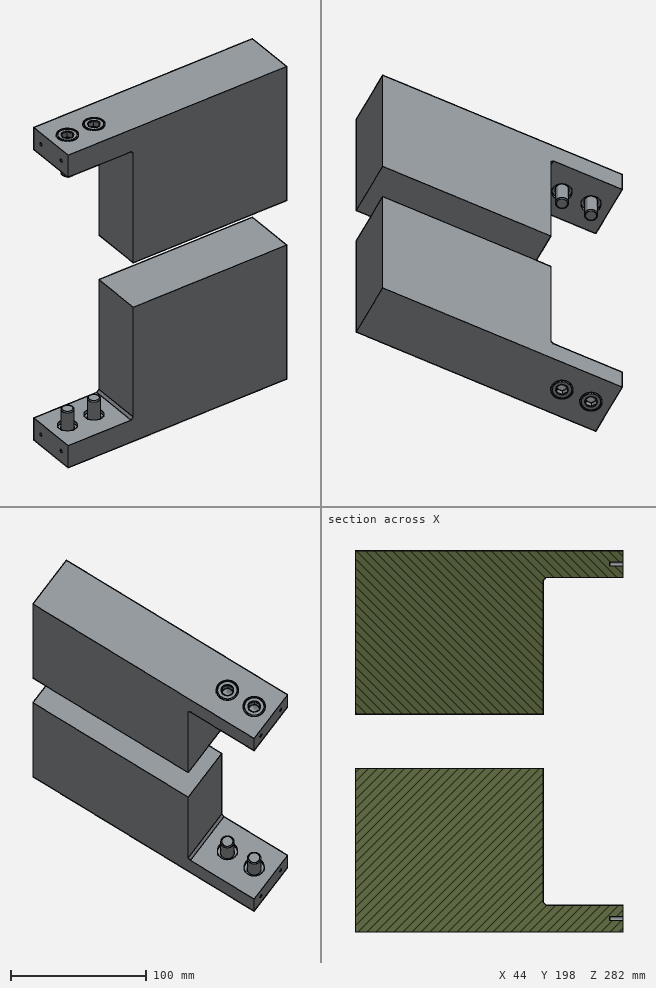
import cadquery as cq
import math

WIDTH = 44.0
LENGTH = 198.0
HEIGHT = 282.0

GAP = 40.0
BLOCK_HEIGHT = (HEIGHT - GAP) / 2
FLANGE_THICKNESS = 20.0
FLANGE_LENGTH = 59.0
CORNER_CHAMFER = 2.0

END_HOLE_DIAMETER = 2.45
END_HOLE_SPACING = 26.0
END_HOLE_DEPTH = 10.0

SCREW_POSITIONS = (15.0, 39.0)
HEAD_DIAMETER = 16.0
HEAD_HEIGHT = 10.0
HEAD_CHAMFER = 0.8
SHANK_DIAMETER = 10.0
SHANK_PROTRUSION = 15.2
TIP_CHAMFER = 0.8

SOCKET_FLATS = 8.0
SOCKET_CORNERS = SOCKET_FLATS / math.cos(math.pi / 6)
SOCKET_RIM_DIAMETER = 9.3
SOCKET_DEPTH = 5.0
SOCKET_CONE_HEIGHT = 2.3

COUNTERBORE_DIAMETER = 16.5
SCREW_HOLE_DIAMETER = 10.5
INNER_RECESS_DIAMETER = 15.0
INNER_RECESS_DEPTH = 2.8


def cylinder(diameter, y, z_bottom, z_top):
    """Upright cylinder centred on the plane X = 0."""
    base = cq.Workplane("XY", origin=(0, y, z_bottom))
    return base.circle(diameter / 2).extrude(z_top - z_bottom)


def cone(bottom_diameter, top_diameter, y, z_bottom, height):
    """Upright cone centred on the plane X = 0."""
    base_point = cq.Vector(0, y, z_bottom)
    return cq.Workplane(
        cq.Solid.makeCone(bottom_diameter / 2, top_diameter / 2, height, base_point, cq.Vector(0, 0, 1))
    )


def make_profile():
    """L-shaped body: a tall part and a thin flange, with a chamfer in the inner corner."""
    outline = [
        (0, 0),
        (LENGTH, 0),
        (LENGTH, BLOCK_HEIGHT),
        (FLANGE_LENGTH, BLOCK_HEIGHT),
        (FLANGE_LENGTH, FLANGE_THICKNESS + CORNER_CHAMFER),
        (FLANGE_LENGTH - CORNER_CHAMFER, FLANGE_THICKNESS),
        (0, FLANGE_THICKNESS),
    ]
    return cq.Workplane("YZ").polyline(outline).close().extrude(WIDTH / 2, both=True)


def make_screw_hole(y):
    """Counterbore for the head, hole for the shank and shallow recess in the inner face."""
    counterbore = cylinder(COUNTERBORE_DIAMETER, y, 0, HEAD_HEIGHT)
    through_hole = cylinder(SCREW_HOLE_DIAMETER, y, 0, FLANGE_THICKNESS)
    recess_floor = FLANGE_THICKNESS - INNER_RECESS_DEPTH
    recess = cylinder(INNER_RECESS_DIAMETER, y, recess_floor, FLANGE_THICKNESS)
    return counterbore.union(through_hole).union(recess)


def make_end_holes():
    return (
        cq.Workplane("XZ", origin=(0, 0, FLANGE_THICKNESS / 2))
        .rarray(END_HOLE_SPACING, 2.8, 2, 1)
        .circle(END_HOLE_DIAMETER / 2)
        .extrude(-END_HOLE_DEPTH)
    )


def make_block():
    block = make_profile().cut(make_end_holes())
    for y in SCREW_POSITIONS:
        block = block.cut(make_screw_hole(y))
    return block


def make_socket(y):
    hexagon = (
        cq.Workplane("XY", origin=(0, y, 0))
        .transformed(rotate=(0, 0, 90))
        .polygon(6, SOCKET_CORNERS)
        .extrude(SOCKET_DEPTH)
    )
    rim_height = (SOCKET_RIM_DIAMETER - SOCKET_FLATS) / 2
    rim = cone(SOCKET_RIM_DIAMETER, SOCKET_FLATS, y, 0, rim_height)
    bottom = cone(SOCKET_FLATS, 0, y, SOCKET_DEPTH, SOCKET_CONE_HEIGHT)
    return hexagon.union(rim).union(bottom)


def make_screw(y):
    """Screw of the lower block: head flush with the bottom face, shank pointing up."""
    head = cylinder(HEAD_DIAMETER, y, 0, HEAD_HEIGHT).faces("<Z").chamfer(HEAD_CHAMFER)
    shank = cylinder(SHANK_DIAMETER, y, HEAD_HEIGHT, FLANGE_THICKNESS + SHANK_PROTRUSION)
    shank = shank.faces(">Z").chamfer(TIP_CHAMFER)
    return head.union(shank).cut(make_socket(y))


def turned_over(body):
    """Mirror image of a body of the lower half, placed in the upper half."""
    return body.mirror("XY").translate((0, 0, HEIGHT))


lower_block = make_block()
bodies = [lower_block.solids().val(), turned_over(lower_block).solids().val()]
for screw_y in SCREW_POSITIONS:
    screw = make_screw(screw_y)
    bodies.append(screw.solids().val())
    bodies.append(turned_over(screw).solids().val())

result = cq.Compound.makeCompound(bodies)